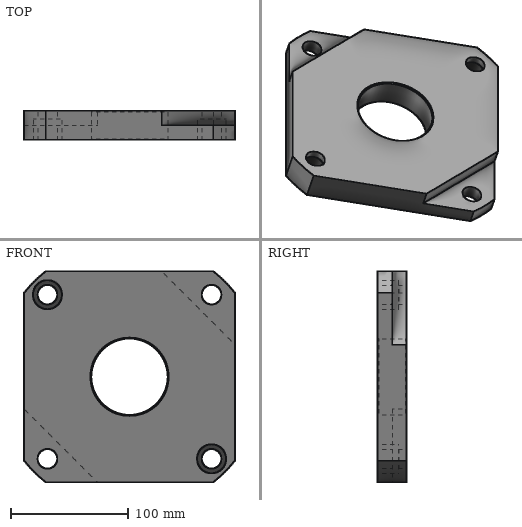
import cadquery as cq

side = 180.0
thickness = 25.0
corner_diameter = 230.0

bore_diameter = 65.0
bore_chamfer = 1.0

hole_pitch = 140.0
hole_diameter = 16.5
counterbore_diameter = 24.5
counterbore_depth = 18.0
edge_break = 0.25

step_wall_distance = 83.0
step_wall_angle = 45.0
step_depth = 12.5

front_y = -thickness / 2
back_y = thickness / 2
hole_offset = hole_pitch / 2


def cylinder(x, z, diameter, start_y, length):
    """Cylinder along +Y, starting at start_y and centred on (x, z)."""
    axis_start = cq.Vector(x, start_y, z)
    return cq.Workplane(cq.Solid.makeCylinder(diameter / 2, length, axis_start, cq.Vector(0, 1, 0)))


def plate():
    square = cq.Workplane("XY").box(side, thickness, side)
    return square.intersect(cylinder(0, 0, corner_diameter, front_y, thickness))


def corner_step(direction):
    """Block removed behind one corner; direction is +1 for (+X, +Z), -1 for (-X, -Z)."""
    block = cq.Workplane("XY").box(side, step_depth, side)
    distance = direction * (step_wall_distance + side / 2)
    block = block.translate((distance, back_y - step_depth / 2, 0))
    return block.rotate((0, 0, 0), (0, 1, 0), -step_wall_angle)


def rim_chamfer(x, z, diameter, rim_y, inward, size):
    """Cone that breaks a hole's rim at rim_y; inward is the Y direction into the hole."""
    cone = cq.Solid.makeCone(
        diameter / 2 + size,
        diameter / 2,
        size,
        cq.Vector(x, rim_y, z),
        cq.Vector(0, inward, 0),
    )
    return cq.Workplane(cone)


def central_bore():
    """Through bore, chamfered at both faces."""
    bore = cylinder(0, 0, bore_diameter, front_y, thickness)
    bore = bore.union(rim_chamfer(0, 0, bore_diameter, front_y, 1, bore_chamfer))
    return bore.union(rim_chamfer(0, 0, bore_diameter, back_y, -1, bore_chamfer))


def broken_edge_hole(x, z, diameter, start_y, length):
    """Cylindrical hole running toward +Y with its front rim broken."""
    hole = cylinder(x, z, diameter, start_y, length)
    return hole.union(rim_chamfer(x, z, diameter, start_y, 1, edge_break))


def plain_hole(x, z):
    """Through hole in a stepped corner."""
    return broken_edge_hole(x, z, hole_diameter, front_y, thickness)


def counterbored_hole(x, z):
    """Through hole counterbored from the front."""
    counterbore = broken_edge_hole(x, z, counterbore_diameter, front_y, counterbore_depth)
    floor_y = front_y + counterbore_depth
    hole = broken_edge_hole(x, z, hole_diameter, floor_y, thickness - counterbore_depth)
    return counterbore.union(hole)


result = plate().cut(central_bore())
for direction in (-1, 1):
    offset = direction * hole_offset
    result = result.cut(corner_step(direction))
    result = result.cut(plain_hole(offset, offset))
    result = result.cut(counterbored_hole(offset, -offset))